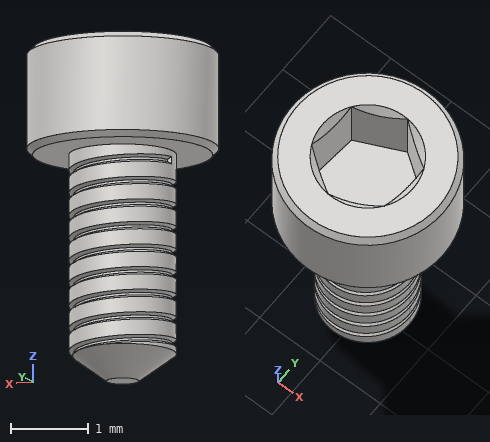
import cadquery as cq
import math

total_length = 4.4
head_diameter = 2.5
head_height = 1.4
head_chamfer = 0.08
shank_diameter = 1.4

tip_height = 0.355
tip_flat_diameter = 0.422

socket_across_flats = 1.3
socket_depth = 0.975
socket_turn = 25.0
lead_in_angle = 45.0

thread_pitch = 0.3
groove_depth = 0.055
groove_mouth = 0.095
groove_floor = 0.03
groove_clearance = 0.018
groove_top_offset = 0.13
groove_top_angle = 180.0
run_out_turns = 0.5

head_radius = head_diameter / 2
shank_radius = shank_diameter / 2
shank_bottom = tip_height
head_bottom = total_length - head_height
groove_top = head_bottom - groove_top_offset


def make_blank():
    """Head, shank and conical tip turned from one half profile."""
    rim_radius = head_radius - head_chamfer
    return (
        cq.Workplane("XZ")
        .moveTo(0, 0)
        .lineTo(tip_flat_diameter / 2, 0)
        .lineTo(shank_radius, shank_bottom)
        .lineTo(shank_radius, head_bottom)
        .lineTo(rim_radius, head_bottom)
        .lineTo(head_radius, head_bottom + head_chamfer)
        .lineTo(head_radius, total_length - head_chamfer)
        .lineTo(rim_radius, total_length)
        .lineTo(0, total_length)
        .close()
        .revolve(360, (0, 0, 0), (0, 1, 0))
    )


def make_socket():
    """Hexagonal pocket with a conical lead-in as wide as the hexagon's corners."""
    corner_radius = socket_across_flats / 2 / math.cos(math.pi / 6)
    hexagon = (
        cq.Workplane("XY")
        .workplane(offset=total_length - socket_depth)
        .polygon(6, 2 * corner_radius)
        .extrude(socket_depth)
        .rotate((0, 0, 0), (0, 0, 1), socket_turn)
    )
    cone_height = corner_radius / math.tan(math.radians(lead_in_angle))
    cone_apex = cq.Vector(0, 0, total_length - cone_height)
    lead_in = cq.Workplane(cq.Solid.makeCone(0, corner_radius, cone_height, pnt=cone_apex))
    return hexagon.union(lead_in)


def make_thread_groove():
    """Helical cutter from the -X side under the head down to where it fades out in the tip."""
    turns = math.ceil((groove_top - shank_bottom) / thread_pitch) + run_out_turns
    helix_height = turns * thread_pitch
    start_angle = groove_top_angle - 360 * turns

    flank_slope = (groove_mouth - groove_floor) / 2 / groove_depth
    half_floor = groove_floor / 2
    half_outer = groove_mouth / 2 + flank_slope * groove_clearance
    inner = shank_radius - groove_depth
    outer = shank_radius + groove_clearance
    path = cq.Wire.makeHelix(thread_pitch, helix_height, shank_radius)
    section = cq.Workplane("XZ").polyline(
        [(inner, -half_floor), (outer, -half_outer), (outer, half_outer), (inner, half_floor)]
    ).close()
    return (
        section.sweep(cq.Workplane(path), isFrenet=True)
        .rotate((0, 0, 0), (0, 0, 1), start_angle)
        .translate((0, 0, groove_top - helix_height))
    )


result = make_blank().cut(make_socket()).cut(make_thread_groove())